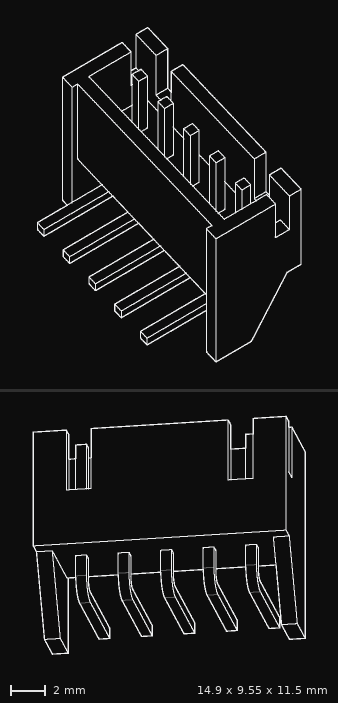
import cadquery as cq


length = 14.9
height = 11.5
depth = 6.15
housing_height = 7.02
housing_bottom = height - housing_height
wall = 0.85
end_wall = 0.88
front_recess = 0.4
housing_front = -depth + front_recess
floor_thickness = 2.0
cavity_floor = housing_bottom + floor_thickness

cheek_thickness = 0.94
cheek_rear_step = 1.01
cheek_foot_depth = 2.56

side_slot_depth = 3.13
side_slot_width = 1.0
rear_notch_depth = 3.7
rear_notch_width = 1.46
rear_notch_spacing = 9.54

pin_count = 5
pin_pitch = 2.5
pin_size = 0.64
pin_row_y = -2.38
pin_tip_drop = 0.2
pin_tip = height - pin_tip_drop
tail_bottom = 2.0
tail_reach = 3.4
bend_inner_radius = 0.6
bend_outer_radius = bend_inner_radius + pin_size


def box(x_range, y_range, z_range):
    """Axis-aligned block between the given limits."""
    ranges = (x_range, y_range, z_range)
    sizes = [high - low for low, high in ranges]
    corner = tuple(low for low, high in ranges)
    return cq.Workplane("XY").box(*sizes, centered=False).translate(corner)


def make_housing():
    """Solid housing block, set back at the front between the cheeks."""
    half = length / 2
    return box((-half, half), (housing_front, 0), (housing_bottom, height))


def make_cheek(x_start):
    """End plate with a sloped rear edge leading down to a narrow foot."""
    outline = [
        (0, height),
        (0, housing_bottom),
        (-cheek_rear_step, housing_bottom),
        (-depth + cheek_foot_depth, 0),
        (-depth, 0),
        (-depth, height),
    ]
    plate = cq.Workplane("YZ").polyline(outline).close().extrude(cheek_thickness)
    return plate.translate((x_start, 0, 0))


def make_cavity():
    """Open-topped pocket around the pin row."""
    half = length / 2 - end_wall
    return box((-half, half), (housing_front + wall, -wall), (cavity_floor, height))


def make_side_slot():
    """Slot through both end walls, just in front of the rear wall."""
    half = length / 2
    return box((-half, half), (-wall - side_slot_width, -wall), (height - side_slot_depth, height))


def make_rear_notch(x_center):
    """Notch through the top of the rear wall."""
    half = rear_notch_width / 2
    return box((x_center - half, x_center + half), (-wall, 0), (height - rear_notch_depth, height))


def make_pin(x_center):
    """Square pin bent forward at a right angle with concentric bend radii."""
    back = pin_row_y + pin_size / 2
    front = pin_row_y - pin_size / 2
    tail_top = tail_bottom + pin_size
    tail_end = -depth - tail_reach
    outline = [
        (back, pin_tip),
        (back, tail_bottom),
        (tail_end, tail_bottom),
        (tail_end, tail_top),
        (front, tail_top),
        (front, pin_tip),
    ]
    pin = cq.Workplane("YZ").polyline(outline).close().extrude(pin_size / 2, both=True)
    inner_corner = cq.selectors.NearestToPointSelector((0, front, tail_top))
    outer_corner = cq.selectors.NearestToPointSelector((0, back, tail_bottom))
    pin = pin.edges("|X").edges(inner_corner).fillet(bend_inner_radius)
    pin = pin.edges("|X").edges(outer_corner).fillet(bend_outer_radius)
    return pin.translate((x_center, 0, 0))


result = make_housing()
for x_start in (-length / 2, length / 2 - cheek_thickness):
    result = result.union(make_cheek(x_start))

result = result.cut(make_cavity()).cut(make_side_slot())
for side in (-1, 1):
    result = result.cut(make_rear_notch(side * rear_notch_spacing / 2))

for index in range(pin_count):
    result = result.union(make_pin((index - (pin_count - 1) / 2) * pin_pitch))